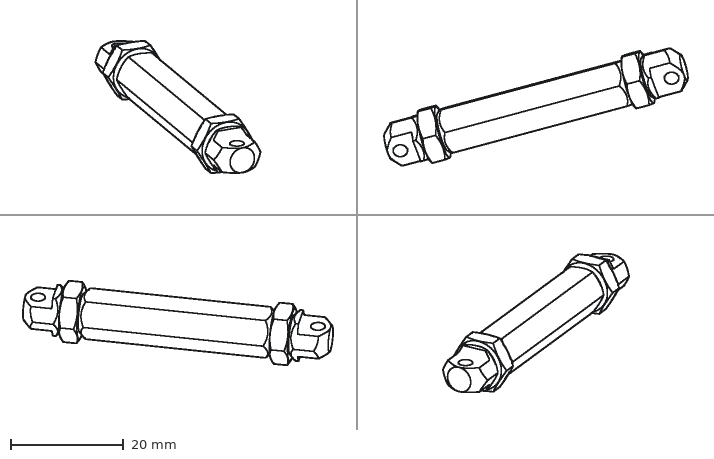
import cadquery as cq
import math

total_length = 55.24
barrel_flats = 7.94
nut_flats = 9.53
nut_width = 3.3
eye_length = 6.92
tang_length = 5.39
tang_thickness = 4.76
root_fillet = 0.2
eye_hole_diameter = 2.54
eye_hole_inset = 2.3
eye_face_radius = 3.57
barrel_face_radius = 3.46
nut_face_radius = 4.7
nut_chamfer_angle = 30
bevel_angle = 45

end_x = total_length / 2
nut_outer_x = end_x - eye_length
nut_inner_x = nut_outer_x - nut_width
step_x = end_x - tang_length
tip_radius = tang_thickness / 2


def corner_radius(flats):
    """Centre-to-corner distance of a hexagon."""
    return flats / math.sqrt(3)


def hex_bar(flats, inner_x, outer_x):
    """Hexagonal bar along X with corners on the Y axis and flats facing +Z and -Z."""
    return (
        cq.Workplane("YZ", origin=(inner_x, 0, 0))
        .polygon(6, 2 * corner_radius(flats))
        .extrude(outer_x - inner_x)
    )


def turned_hex(flats, inner_x, outer_x, inner_radius, outer_radius, angle):
    """Hexagonal bar whose corners are turned down to a cone, leaving a round face at each end."""
    corner = corner_radius(flats)
    slope = math.tan(math.radians(angle))
    envelope = (
        cq.Workplane("XY")
        .moveTo(inner_x, 0)
        .lineTo(inner_x, inner_radius)
        .lineTo(inner_x + (corner - inner_radius) * slope, corner)
        .lineTo(outer_x - (corner - outer_radius) * slope, corner)
        .lineTo(outer_x, outer_radius)
        .lineTo(outer_x, 0)
        .close()
        .revolve(360, (0, 0, 0), (1, 0, 0))
    )
    return hex_bar(flats, inner_x, outer_x).intersect(envelope)


def make_barrel():
    """Central hexagonal barrel between the two lock nuts."""
    return turned_hex(
        barrel_flats, -nut_inner_x, nut_inner_x, barrel_face_radius, barrel_face_radius, bevel_angle
    )


def make_lock_nut():
    """Lock nut at +X, between the barrel and the eye end."""
    return turned_hex(
        nut_flats, nut_inner_x, nut_outer_x, nut_face_radius, nut_face_radius, nut_chamfer_angle
    )


def tang_relief():
    """Block that is milled off above the tang, rounded where the tang meets the step."""
    return (
        cq.Workplane("XY", origin=(step_x, 0, tang_thickness / 2))
        .box(tang_length, 2 * barrel_flats, barrel_flats, centered=(False, True, False))
        .edges("|Y")
        .edges("<X")
        .edges("<Z")
        .fillet(root_fillet)
    )


def make_eye_end():
    """Hexagonal end at +X, milled to a flat tang with a cross hole along Z."""
    blank = turned_hex(barrel_flats, nut_outer_x, end_x, eye_face_radius, tip_radius, bevel_angle)
    upper_relief = tang_relief()
    lower_relief = upper_relief.mirror("XY")
    hole = (
        cq.Workplane("XY", origin=(end_x - eye_hole_inset, 0, 0))
        .circle(eye_hole_diameter / 2)
        .extrude(tang_thickness, both=True)
    )
    return blank.cut(upper_relief).cut(lower_relief).cut(hole)


barrel = make_barrel()
lock_nuts = []
eye_ends = []
for turn in (0, 180):
    lock_nuts.append(make_lock_nut().rotate((0, 0, 0), (0, 0, 1), turn))
    eye_ends.append(make_eye_end().rotate((0, 0, 0), (0, 0, 1), turn))

result = cq.Compound.makeCompound(
    [barrel.val()] + [nut.val() for nut in lock_nuts] + [eye.val() for eye in eye_ends]
)